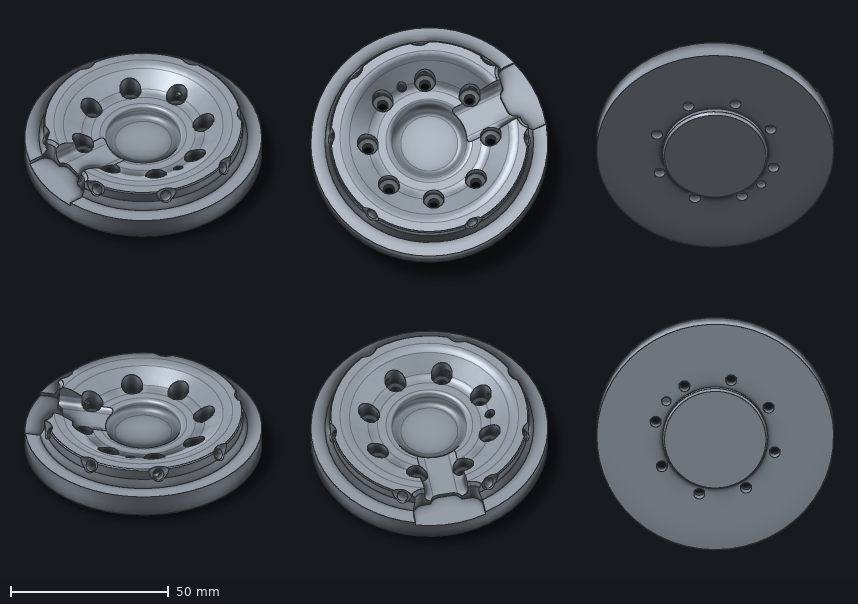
import cadquery as cq
import math

flange_radius = 37.5
flange_height = 7.05

boss_radius = 16.65
boss_height = 2.7
boss_chamfer_width = 0.6
boss_chamfer_height = 1.1

ring_radius = 31.5
ring_foot_radius = 33
ring_foot_top = 9.5
ring_top = 13.3
rim_chamfer = 0.4

bowl_lip_radius = 28.3
bowl_floor_radius = 16.4
bowl_slope = math.radians(30)
bowl_round = 6

pit_edge_radius = 13.7
pit_edge_round = 2.0
pit_floor_round = 3
pit_wall_slope = math.radians(70)

bolt_count = 8
bolt_circle_radius = 19.5
bolt_hole_diameter = 3.45
counterbore_diameter = 6.6
counterbore_floor = 3.75
pin_hole_diameter = 2.9

channel_width = 13.8
channel_floor = 7.3
channel_round = 3

notch_width = 22.5
notch_floor = 5.85
notch_back = 28.65
notch_round = 3.45
notch_chamfer = 1.05
bulge_width = 10.35
bulge_back = 26.6
bulge_round = 3

port_angles = [-117, -63, -21, 21, 63, 117, 180]
port_diameter = 3.45
port_tilt = 30
port_mouth_radius = 30.5
port_mouth_height = 10.4
port_tip_radius = 22.1
port_tip_half_angle = math.radians(59)
countersink_half_angle = math.radians(45)
countersink_length = 3

overlap = 0.75


def arc_middle(start, end, signed_radius):
    """Middle of the minor arc from start to end; a positive radius bows to the left."""
    dx = end[0] - start[0]
    dy = end[1] - start[1]
    chord = math.hypot(dx, dy)
    radius = abs(signed_radius)
    height = radius - math.sqrt(radius**2 - (chord / 2) ** 2)
    offset = math.copysign(height, signed_radius)
    return (
        (start[0] + end[0]) / 2 - dy / chord * offset,
        (start[1] + end[1]) / 2 + dx / chord * offset,
    )


def revolved_body():
    """Flange, boss, ring, bowl and pit as one turned profile (radius, height)."""
    round_run = bowl_round * math.sin(bowl_slope)
    round_drop = bowl_round * (1 - math.cos(bowl_slope))
    lip_end = (bowl_lip_radius - round_run, ring_top - round_drop)
    cone_end_radius = bowl_floor_radius + round_run
    cone_end_height = lip_end[1] - (lip_end[0] - cone_end_radius) * math.tan(bowl_slope)
    cone_end = (cone_end_radius, cone_end_height)
    bowl_floor = cone_end_height - round_drop

    pit_run = math.sin(pit_wall_slope)
    pit_drop = 1 - math.cos(pit_wall_slope)
    pit_edge = (pit_edge_radius, bowl_floor)
    pit_wall = (pit_edge_radius - pit_edge_round * pit_run, bowl_floor - pit_edge_round * pit_drop)
    pit_foot = (pit_wall[0] - pit_floor_round * pit_run, pit_wall[1] - pit_floor_round * pit_drop)

    bowl_lip = (bowl_lip_radius, ring_top)
    bowl_foot = (bowl_floor_radius, bowl_floor)
    profile = (
        cq.Workplane("XZ")
        .moveTo(0, -boss_height)
        .lineTo(boss_radius - boss_chamfer_width, -boss_height)
        .lineTo(boss_radius, boss_chamfer_height - boss_height)
        .lineTo(boss_radius, 0)
        .lineTo(flange_radius, 0)
        .lineTo(flange_radius, flange_height)
        .lineTo(ring_foot_radius, flange_height)
        .lineTo(ring_radius, ring_foot_top)
        .lineTo(ring_radius, ring_top - rim_chamfer)
        .lineTo(ring_radius - rim_chamfer, ring_top)
        .lineTo(*bowl_lip)
        .threePointArc(arc_middle(bowl_lip, lip_end, -bowl_round), lip_end)
        .lineTo(*cone_end)
        .threePointArc(arc_middle(cone_end, bowl_foot, bowl_round), bowl_foot)
        .lineTo(*pit_edge)
        .threePointArc(arc_middle(pit_edge, pit_wall, -pit_edge_round), pit_wall)
        .threePointArc(arc_middle(pit_wall, pit_foot, pit_floor_round), pit_foot)
        .lineTo(0, pit_foot[1])
        .close()
    )
    return profile.revolve(360, (0, 0, 0), (0, 1, 0))


def bolt_holes():
    """Through holes and counterbores, straddling the X and Y axes."""
    half_pitch = 180 / bolt_count
    drills = (
        cq.Workplane("XY", origin=(0, 0, -overlap))
        .polarArray(bolt_circle_radius, half_pitch, 360, bolt_count)
        .circle(bolt_hole_diameter / 2)
        .extrude(ring_top)
    )
    counterbores = (
        cq.Workplane("XY", origin=(0, 0, counterbore_floor))
        .polarArray(bolt_circle_radius, half_pitch, 360, bolt_count)
        .circle(counterbore_diameter / 2)
        .extrude(ring_top - counterbore_floor)
    )
    return drills.union(counterbores)


def pin_hole():
    return (
        cq.Workplane("XY", origin=(bolt_circle_radius, 0, -overlap))
        .circle(pin_hole_diameter / 2)
        .extrude(ring_top)
    )


def channel():
    """Channel along -Y with its two bottom edges rounded."""
    return (
        cq.Workplane("XY", origin=(0, -notch_back / 2, channel_floor))
        .rect(channel_width, notch_back)
        .extrude(ring_top + overlap - channel_floor)
        .edges("|Y and <Z")
        .fillet(channel_round)
    )


def notch_outline(height, growth=0):
    """Notch outline at a height, its rounded back grown outward by an amount."""
    half_width = notch_width / 2 + growth
    back = notch_back - growth
    front = flange_radius + overlap
    corner = notch_round + growth
    shift = corner * (1 - math.sqrt(0.5))
    return (
        cq.Workplane("XY", origin=(0, 0, height))
        .moveTo(-half_width, -front)
        .lineTo(-half_width, -back - corner)
        .threePointArc((-half_width + shift, -back - shift), (-half_width + corner, -back))
        .lineTo(half_width - corner, -back)
        .threePointArc((half_width - shift, -back - shift), (half_width, -back - corner))
        .lineTo(half_width, -front)
        .close()
    )


def notch():
    """Notch, the chamfer around its top edge and the bulge into the channel."""
    chamfer_foot = ring_top - notch_chamfer
    cut = notch_outline(notch_floor).extrude(ring_top + overlap - notch_floor)
    chamfer_outlines = [
        notch_outline(chamfer_foot).val(),
        notch_outline(ring_top, notch_chamfer).val(),
    ]
    chamfer = cq.Workplane(cq.Solid.makeLoft(chamfer_outlines, True))
    bulge_depth = flange_radius - bulge_back
    bulge = (
        cq.Workplane("XY", origin=(0, -bulge_back - bulge_depth / 2, notch_floor))
        .rect(bulge_width, bulge_depth)
        .extrude(ring_top - notch_floor)
        .edges("|Z and >Y")
        .fillet(bulge_round)
    )
    return cut.union(chamfer).union(bulge)


def port():
    """Countersunk hole on the +X side, turned about its own inclined axis."""
    tilt = math.radians(port_tilt)
    radius = port_diameter / 2
    depth = (port_mouth_radius - port_tip_radius) / math.cos(tilt)
    tip_length = radius / math.tan(port_tip_half_angle)
    mouth = radius + countersink_length * math.tan(countersink_half_angle)
    return (
        cq.Workplane("XY")
        .moveTo(-depth, 0)
        .lineTo(tip_length - depth, radius)
        .lineTo(0, radius)
        .lineTo(countersink_length, mouth)
        .lineTo(countersink_length, 0)
        .close()
        .revolve(360, (0, 0, 0), (1, 0, 0))
        .rotate((0, 0, 0), (0, 1, 0), -port_tilt)
        .translate((port_mouth_radius, 0, port_mouth_height))
    )


result = revolved_body()
result = result.cut(bolt_holes()).cut(pin_hole())
result = result.cut(channel()).cut(notch())
for angle in port_angles:
    result = result.cut(port().rotate((0, 0, 0), (0, 0, 1), angle))